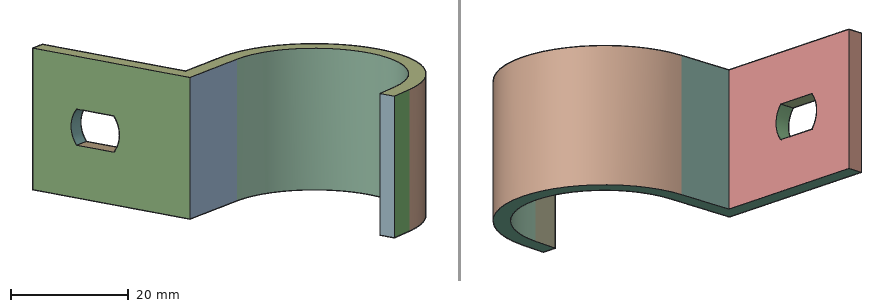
import cadquery as cq
import math

length = 67.8
depth = 33.0
width = 25.0
thickness = 3.0
outer_radius = 19.0
bore_radius = outer_radius - thickness

flange_length = 32.55
wall_outer_x = flange_length - thickness
center_x = flange_length + bore_radius
center_y = depth - outer_radius

tip_y = 10.1
tip_drop = center_y - tip_y
tip_reach = length - center_x
leg_length = math.sqrt(tip_reach**2 + tip_drop**2 - outer_radius**2)
lean = math.atan2(leg_length, outer_radius) - math.atan2(tip_drop, tip_reach)

hole_diameter = 10.0
hole_flat_distance = 6.4
hole_x = 12.95


def leg_tangent(radius):
    """Point where the free leg leaves an arc of the given radius."""
    return (center_x + radius * math.cos(lean), center_y + radius * math.sin(lean))


def leg_tip(radius):
    """Level end of the free leg on the face tangent to the given radius."""
    tangent_x, tangent_y = leg_tangent(radius)
    return (tangent_x + (tangent_y - tip_y) * math.tan(lean), tip_y)


def make_strap():
    return (
        cq.Workplane("XY")
        .moveTo(0, 0)
        .lineTo(flange_length, 0)
        .lineTo(flange_length, center_y)
        .threePointArc((center_x, center_y + bore_radius), leg_tangent(bore_radius))
        .lineTo(*leg_tip(bore_radius))
        .lineTo(*leg_tip(outer_radius))
        .lineTo(*leg_tangent(outer_radius))
        .threePointArc((center_x, depth), (wall_outer_x, center_y))
        .lineTo(wall_outer_x, thickness)
        .lineTo(0, thickness)
        .close()
        .extrude(width)
    )


def make_hole():
    plane = cq.Workplane("XZ").center(hole_x, width / 2)
    round_hole = plane.circle(hole_diameter / 2).extrude(-thickness)
    flats = plane.rect(hole_diameter, hole_flat_distance).extrude(-thickness)
    return round_hole.intersect(flats)


result = make_strap().cut(make_hole())